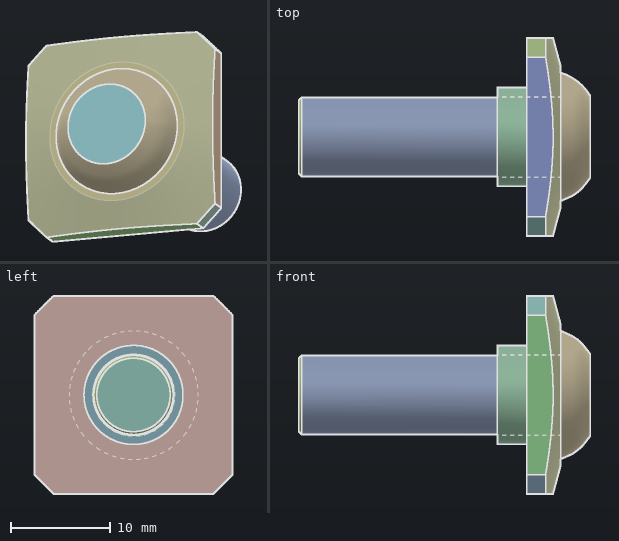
import cadquery as cq
import math

bolt_length = 29.4
collar_length = 2.97
plate_thickness = 3.4
head_height = 3.0
plate_outer_x = bolt_length - head_height
plate_inner_x = plate_outer_x - plate_thickness
collar_x = plate_inner_x - collar_length

shank_radius = 4.0
tip_chamfer = 0.3
head_base_radius = 6.5
head_face_radius = 4.15
head_bulge = 0.35

plate_width = 20.0
corner_chamfer = 1.95
collar_radius = 5.0
bore_clearance = 0.1
crown_flat_radius = 7.2
crown_angle = 15.0


def make_bolt():
    """Round shank with a domed, flat-ended head, revolved about X."""
    chord_x = head_height
    chord_r = head_base_radius - head_face_radius
    chord = math.hypot(chord_x, chord_r)
    dome_mid = (
        plate_outer_x + chord_x / 2 + head_bulge * chord_r / chord,
        head_face_radius + chord_r / 2 + head_bulge * chord_x / chord,
    )
    profile = (
        cq.Workplane("XY")
        .lineTo(0, shank_radius - tip_chamfer)
        .lineTo(tip_chamfer, shank_radius)
        .lineTo(plate_outer_x, shank_radius)
        .lineTo(plate_outer_x, head_base_radius)
        .threePointArc(dome_mid, (bolt_length, head_face_radius))
        .lineTo(bolt_length, 0)
        .close()
    )
    return profile.revolve(360, (0, 0, 0), (1, 0, 0))


def make_crown_envelope():
    """Solid of revolution whose outer end is a flat disc with a conical skirt."""
    envelope_radius = plate_width / math.sqrt(2)
    skirt_drop = (envelope_radius - crown_flat_radius) * math.tan(math.radians(crown_angle))
    profile = (
        cq.Workplane("XY")
        .moveTo(plate_inner_x, 0)
        .lineTo(plate_inner_x, envelope_radius)
        .lineTo(plate_outer_x - skirt_drop, envelope_radius)
        .lineTo(plate_outer_x, crown_flat_radius)
        .lineTo(plate_outer_x, 0)
        .close()
    )
    return profile.revolve(360, (0, 0, 0), (1, 0, 0))


def make_plate():
    """Square crowned plate with cut corners, a collar and a clearance bore."""
    block = (
        cq.Workplane("YZ", origin=(plate_inner_x, 0, 0))
        .rect(plate_width, plate_width)
        .extrude(plate_thickness)
        .edges("|X")
        .chamfer(corner_chamfer)
    )
    crowned = block.intersect(make_crown_envelope())
    collar_plane = cq.Workplane("YZ", origin=(collar_x, 0, 0))
    collar = collar_plane.circle(collar_radius).extrude(collar_length)
    bore = collar_plane.circle(shank_radius + bore_clearance).extrude(collar_length + plate_thickness)
    return crowned.union(collar).cut(bore)


bolt = make_bolt()
plate = make_plate()

result = cq.Compound.makeCompound([bolt.val(), plate.solids().val()])